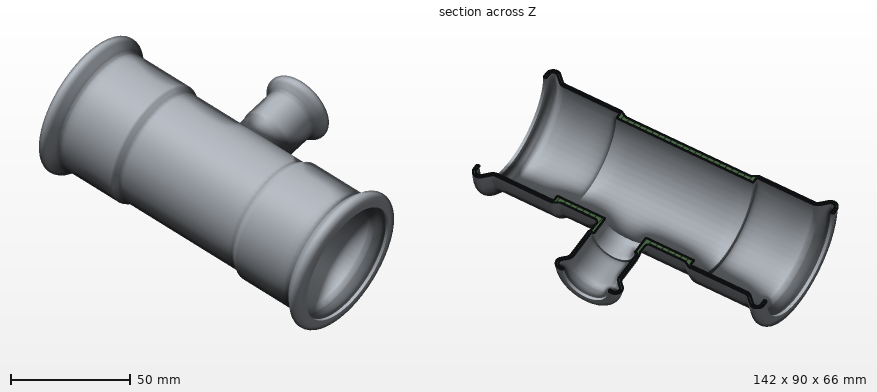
import cadquery as cq
import math

run_length = 142.0
overall_width = 90.0

run_radius = 53.4 / 2
run_bore_radius = 24.1
run_socket_radius = 57.0 / 2
run_bead_radius = 66.0 / 2
run_socket_depth = 37.5

branch_reach = overall_width - run_bead_radius
branch_radius = 23.9 / 2
branch_bore_radius = 10.0
branch_socket_radius = 25.0 / 2
branch_bead_radius = 16.0
branch_socket_depth = 23.6

socket_wall = 1.35
bead_round = 3.1
bead_slope = 45.0
step_slope = 30.0
neck_fillet = 2.0
step_fillet = 1.8
joint_fillet = 1.7


def bead_arc(radius, centre_depth, centre_radius):
    """Middle and end of the bead arc, from the axial face to the sloping back."""
    points = []
    for angle in ((bead_slope - 90) / 2, bead_slope):
        turn = math.radians(angle)
        depth = centre_depth + radius * math.sin(turn)
        points.append((depth, centre_radius + radius * math.cos(turn)))
    return points


def revolve_about_axis(profile):
    return profile.close().revolve(360, (0, 0, 0), (1, 0, 0))


def fillet_circle(body, radius, depth, circle_radius):
    """Round the circular edge of the given radius that lies at the given depth."""
    margin = 0.01
    reach = circle_radius + margin
    slab = cq.selectors.BoxSelector(
        (depth - margin, -reach, -reach), (depth + margin, reach, reach), boundingbox=True
    )
    return body.edges(slab).fillet(radius)


def socket_pipe(length, pipe_radius, bore_radius, socket_radius, bead_radius, socket_depth):
    """Solid outside and its cavity for a pipe along +X whose mouth is at X = 0."""
    slope = math.tan(math.radians(bead_slope))
    step_run = 1 / math.tan(math.radians(step_slope))
    bead_centre = bead_radius - bead_round
    socket_bore = socket_radius - socket_wall

    middle, back = bead_arc(bead_round, bead_round, bead_centre)
    neck_depth = back[0] + (back[1] - socket_radius) / slope
    step_end = socket_depth + (socket_radius - pipe_radius) * step_run
    outside = revolve_about_axis(
        cq.Workplane("XY")
        .lineTo(0, bead_centre)
        .threePointArc(middle, back)
        .lineTo(neck_depth, socket_radius)
        .lineTo(socket_depth, socket_radius)
        .lineTo(step_end, pipe_radius)
        .lineTo(length, pipe_radius)
        .lineTo(length, 0)
    )
    outside = fillet_circle(outside, neck_fillet, neck_depth, socket_radius)
    outside = fillet_circle(outside, step_fillet, socket_depth, socket_radius)
    outside = fillet_circle(outside, step_fillet, step_end, pipe_radius)

    middle, back = bead_arc(bead_round - socket_wall, bead_round, bead_centre)
    bore_neck = back[0] + (back[1] - socket_bore) / slope
    cavity = revolve_about_axis(
        cq.Workplane("XY")
        .lineTo(0, socket_bore)
        .lineTo(socket_wall, socket_bore)
        .lineTo(socket_wall, bead_centre)
        .threePointArc(middle, back)
        .lineTo(bore_neck, socket_bore)
        .lineTo(socket_depth, socket_bore)
        .lineTo(socket_depth, bore_radius)
        .lineTo(length, bore_radius)
        .lineTo(length, 0)
    )
    cavity = fillet_circle(cavity, neck_fillet + socket_wall, bore_neck, socket_bore)
    return outside, cavity


half_outside, half_cavity = (
    body.translate((-run_length / 2, 0, 0))
    for body in socket_pipe(
        run_length / 2, run_radius, run_bore_radius, run_socket_radius, run_bead_radius, run_socket_depth
    )
)
run_outside = half_outside.union(half_outside.mirror("YZ"))
run_cavity = half_cavity.union(half_cavity.mirror("YZ"))

branch_outside, branch_cavity = (
    body.rotate((0, 0, 0), (0, 0, 1), -90).translate((0, branch_reach, 0))
    for body in socket_pipe(
        branch_reach,
        branch_radius,
        branch_bore_radius,
        branch_socket_radius,
        branch_bead_radius,
        branch_socket_depth,
    )
)

joint_low = math.sqrt(run_radius**2 - branch_radius**2)
joint_margin = 0.1
joint_half_width = branch_radius + joint_margin
joint_box = cq.selectors.BoxSelector(
    (-joint_half_width, joint_low - joint_margin, -joint_half_width),
    (joint_half_width, run_radius + joint_margin, joint_half_width),
    boundingbox=True,
)
outside_body = run_outside.union(branch_outside).edges(joint_box).fillet(joint_fillet)

result = outside_body.cut(run_cavity).cut(branch_cavity)